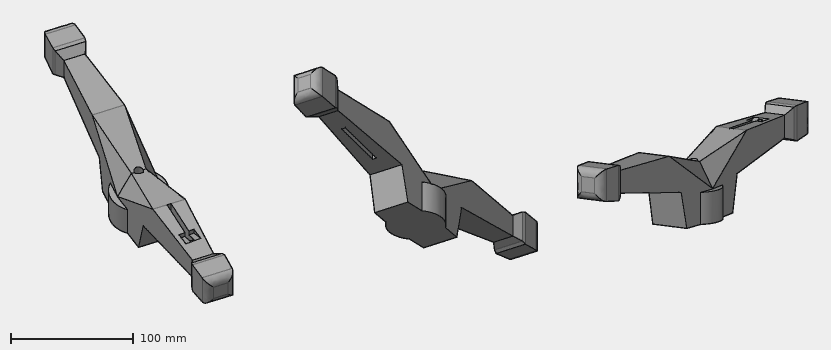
import cadquery as cq
import math

half_length = 164.0
total_height = 71.0

arm_end_x = 128.5
arm_top_z = 64.5
arm_end_bottom_z = 45.2
shoulder_x = 60.5
valley_z = 48.5
leg_corner_x = 44.0
leg_corner_z = 31.5
foot_half_length = 36.0
body_half_width = 19.0
arm_end_half_width = 9.5

valley_half_width = 6.5
facet_bottom_z = 27.2
boss_diameter = 49.5
boss_height = 27.0
hole_diameter = 8.0
hole_bottom_z = boss_height

flare_x = 136.3
flare_bottom_z = 43.0
flare_top_z = 70.0
flare_half_width = 13.8
collar_x = 139.5
collar_bottom_z = 41.3
collar_half_width = 14.5
tip_bottom_z = 45.0
tip_half_width = 13.0
tip_fillet = 7.2

slot_end_x = 106.2
slot_width = 3.5
pocket_x = 102.2
pocket_length = 12.0
pocket_width = 13.8
pocket_turn = 4.0
pocket_tilt = 20.0
pocket_cutter_height = 19.5


def side_y(x):
    """Half width of the body at distance x from the centre."""
    return body_half_width + (arm_end_half_width - body_half_width) * x / arm_end_x


def polyhedron(faces):
    """Solid bounded by planar faces, each a list of corner points."""
    sides = []
    for corners in faces:
        wire = cq.Wire.makePolygon([cq.Vector(*p) for p in corners], close=True)
        sides.append(cq.Face.makeFromWires(wire))
    return cq.Workplane(obj=cq.Solid.makeSolid(cq.Shell.makeShell(sides)))


def mirrored_four_ways(quarter):
    """Copies of a solid in all four quadrants of the plan."""
    half = quarter.union(quarter.mirror("XZ"))
    return half.union(half.mirror("YZ"))


def make_body():
    right_profile = [
        (foot_half_length, 0),
        (leg_corner_x, leg_corner_z),
        (arm_end_x, arm_end_bottom_z),
        (arm_end_x, arm_top_z),
        (shoulder_x, arm_top_z),
    ]
    left_profile = [(-x, z) for x, z in reversed(right_profile)]
    profile = (
        cq.Workplane("XZ")
        .polyline(right_profile + [(0, valley_z)] + left_profile)
        .close()
        .extrude(body_half_width, both=True)
    )
    plan = (
        cq.Workplane("XY")
        .polyline([
            (0, body_half_width),
            (arm_end_x, arm_end_half_width),
            (arm_end_x, -arm_end_half_width),
            (0, -body_half_width),
            (-arm_end_x, -arm_end_half_width),
            (-arm_end_x, arm_end_half_width),
        ])
        .close()
        .extrude(total_height)
    )
    return profile.intersect(plan)


def make_facet_cutter():
    """Four corner tetrahedra that bevel the body around the valley."""
    shoulder = (shoulder_x, side_y(shoulder_x), arm_top_z)
    inner = (0, valley_half_width, valley_z)
    outer = (0, body_half_width, valley_z)
    lower = (0, body_half_width, facet_bottom_z)
    quarter = polyhedron([
        (shoulder, inner, outer),
        (shoulder, outer, lower),
        (shoulder, lower, inner),
        (inner, lower, outer),
    ])
    return mirrored_four_ways(quarter)


def section(x, half_width, bottom_z, top_z):
    """Rectangular wire across the arm at position x."""
    corners = [
        (x, -half_width, bottom_z),
        (x, half_width, bottom_z),
        (x, half_width, top_z),
        (x, -half_width, top_z),
    ]
    return cq.Wire.makePolygon([cq.Vector(*p) for p in corners], close=True)


def make_knob():
    """Knob on the +X arm: flare, collar and tapered block with a rounded tip."""
    arm_end = section(arm_end_x, arm_end_half_width, arm_end_bottom_z, arm_top_z)
    flare = section(flare_x, flare_half_width, flare_bottom_z, flare_top_z)
    collar = section(collar_x, collar_half_width, collar_bottom_z, total_height)
    tip = section(half_length, tip_half_width, tip_bottom_z, total_height)
    neck = cq.Workplane(obj=cq.Solid.makeLoft([arm_end, flare, collar], True))
    block = cq.Workplane(obj=cq.Solid.makeLoft([collar, tip], True))
    return neck.union(block.faces(">X").edges().fillet(tip_fillet))


def make_slot():
    """Vertical slot through the full height of the +X arm."""
    return cq.Workplane("XY").box(
        slot_end_x - shoulder_x, slot_width, total_height, centered=(False, True, False)
    ).translate((shoulder_x, 0, 0))


def make_pocket():
    """Shallow turned pocket whose floor rises to the arm top at its +X edge."""
    prism = (
        cq.Workplane("XY", origin=(pocket_x, 0, arm_top_z - pocket_cutter_height / 2))
        .transformed(rotate=(0, 0, pocket_turn))
        .rect(pocket_length, pocket_width)
        .extrude(pocket_cutter_height)
    )
    middle_depth = pocket_length / 2 * math.tan(math.radians(pocket_tilt))
    above_floor = (
        cq.Workplane("XY", origin=(pocket_x, 0, arm_top_z - middle_depth))
        .transformed(rotate=(0, 0, pocket_turn))
        .transformed(rotate=(0, -pocket_tilt, 0))
        .rect(2 * pocket_length, 2 * pocket_width)
        .extrude(pocket_cutter_height)
    )
    return prism.intersect(above_floor)


boss = cq.Workplane("XY").circle(boss_diameter / 2).extrude(boss_height)
hole = (
    cq.Workplane("XY", origin=(0, 0, hole_bottom_z))
    .circle(hole_diameter / 2)
    .extrude(total_height)
)
knob = make_knob()

result = make_body().cut(make_facet_cutter()).union(boss)
result = result.union(knob).union(knob.mirror("YZ"))
result = result.cut(hole).cut(make_slot()).cut(make_pocket())